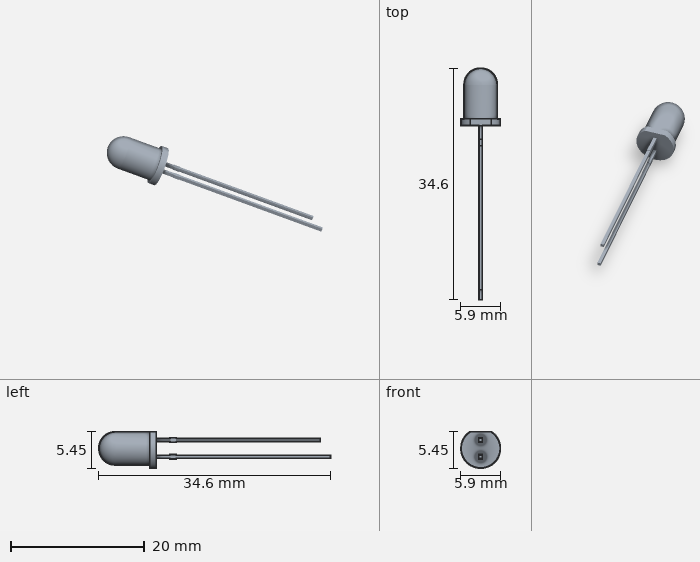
import cadquery as cq


lens_diameter = 5.0
lens_radius = lens_diameter / 2
lens_height = 8.6
dome_start = lens_height - lens_radius

flange_diameter = 5.9
flange_thickness = 1.0
flat_height = lens_radius

lead_thickness = 0.5
lead_pitch = 2.5
long_lead_length = 26.0
short_lead_length = 24.5
collar_height = 0.7
collar_length = 1.0
collar_offset = 2.0


def make_lens():
    """Cylinder closed by a hemisphere, revolved about the Y axis."""
    dome_mid = lens_radius * 0.5 ** 0.5
    return (
        cq.Workplane("YZ")
        .lineTo(0, lens_radius)
        .lineTo(dome_start, lens_radius)
        .threePointArc((dome_start + dome_mid, dome_mid), (lens_height, 0))
        .close()
        .revolve(360, (0, 0), (1, 0))
    )


def make_flange():
    """Disc with its +Z side cut flat."""
    disc = cq.Workplane("XZ").circle(flange_diameter / 2).extrude(-flange_thickness)
    above_flat = (
        cq.Workplane("XY", origin=(0, 0, flat_height))
        .rect(2 * flange_diameter, 2 * flange_diameter)
        .extrude(flange_diameter)
    )
    return disc.cut(above_flat)


def make_lead(z_center, length):
    """Square wire leaving the flange toward -Y, with a taller stop collar."""
    wire = (
        cq.Workplane("XZ", origin=(0, 0, z_center))
        .rect(lead_thickness, lead_thickness)
        .extrude(length)
    )
    collar = (
        cq.Workplane("XZ", origin=(0, -collar_offset, z_center))
        .rect(lead_thickness, collar_height)
        .extrude(collar_length)
    )
    return wire.union(collar)


short_lead = make_lead(lead_pitch / 2, short_lead_length)
long_lead = make_lead(-lead_pitch / 2, long_lead_length)

result = make_lens().union(make_flange()).union(short_lead).union(long_lead)